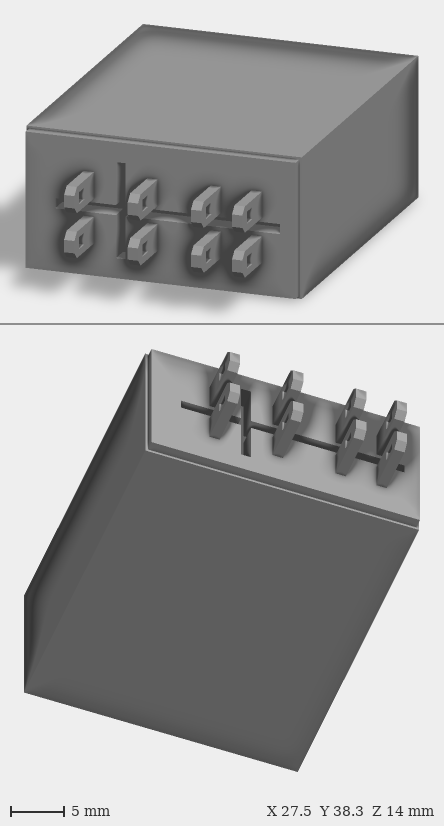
import cadquery as cq

overall_length = 38.3
case_width = 27.5
case_height = 14.0

plate_inset = 0.25
plate_thickness = 0.95

pin_length = 5.4
pin_thickness = 1.05
pin_height = 2.6
pin_tip_chamfer = 0.7
pin_x_positions = (-7.15, -0.8, 5.5, 9.6)
pin_row_offset = 2.22
eye_length = 1.5
eye_height = 1.2
eye_to_tip = 2.03

groove_width = 1.0
groove_depth = 2.0
long_groove_length = 22.45
long_groove_x = 0.7
short_groove_length = 9.5
short_groove_x = -4.0

case_back_y = overall_length / 2
pin_tip_y = -overall_length / 2
plate_face_y = pin_tip_y + pin_length
case_front_y = plate_face_y + plate_thickness


def block(width, height, y_start, y_end, x=0, z=0):
    """Box centred on (x, z), spanning y_start to y_end."""
    length = y_end - y_start
    return cq.Workplane("XY").box(width, length, height).translate((x, y_start + length / 2, z))


def make_pin(x, z):
    """Terminal blade standing on the base plate."""
    blade = block(pin_thickness, pin_height, pin_tip_y, plate_face_y, x, z)
    blade = blade.faces("<Y").edges("|X").chamfer(pin_tip_chamfer)
    eye_y = pin_tip_y + eye_to_tip
    eye = block(pin_thickness, eye_height, eye_y - eye_length / 2, eye_y + eye_length / 2, x, z)
    return blade.cut(eye)


def make_cross_groove():
    """Material removed by the two crossing grooves."""
    floor_y = plate_face_y + groove_depth
    long_groove = block(long_groove_length, groove_width, plate_face_y, floor_y, long_groove_x)
    short_groove = block(groove_width, short_groove_length, plate_face_y, floor_y, short_groove_x)
    return long_groove.union(short_groove)


case = block(case_width, case_height, case_front_y, case_back_y)
plate = block(
    case_width - 2 * plate_inset,
    case_height - 2 * plate_inset,
    plate_face_y,
    case_front_y,
)
result = case.union(plate).cut(make_cross_groove())

for pin_x in pin_x_positions:
    for pin_z in (-pin_row_offset, pin_row_offset):
        result = result.union(make_pin(pin_x, pin_z))